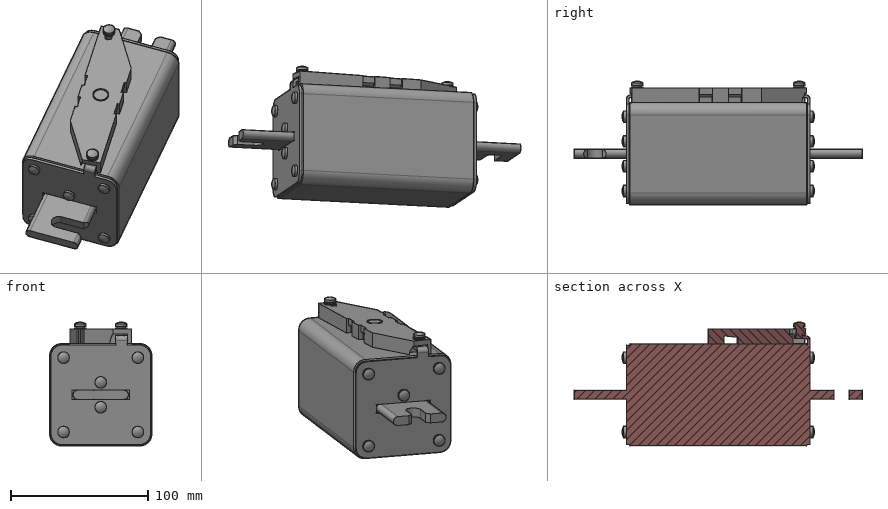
import cadquery as cq
import math

body_width = 74.5
corner_radius = 8.8
plate_outer_y = 67.0
plate_thickness = 2.0
plate_inset = 1.0
block_end_chamfer = 0.6
total_length = 210.0
body_half = body_width / 2
block_half_length = plate_outer_y - plate_thickness

blade_width = 40.3
blade_thickness = 6.7
opening_width = 41.5
notch_width = 11.0
notch_center_y = 89.9
mouth_chamfer = 2.7

head_radius = 4.2
head_rim = 1.9
head_dome = 1.3
corner_screw_offset = 27.0
middle_screw_offset = 9.0

cover_top = 48.0
cover_half_width = 15.5
cover_half_length = 64.9
cover_turn = 6.2
bevel_start_y = 30.0
cover_tip_x = 1.9
grip_start_y = 5.9
grip_end_y = 15.5
grip_depth = 1.7
grip_undercut = 1.9
undercut_top = 43.3
ring_radius = 5.7
ring_width = 0.5
ring_depth = 0.6

tab_left = 11.0
tab_right = 19.3
tab_top = 43.0
tab_bend_radius = 3.4
tab_reach_y = 55.6
pocket_left = 6.7
pocket_right = 19.5
pocket_arc_radius = 12.5
pocket_end_y = 54.5
pocket_top = 44.3
screw_x = 15.0
screw_y = -59.0
slot_radius = 2.5
slot_end_x = 13.9
slot_end_y = -54.5
washer_thickness = 0.6
neck_radius = 3.2
neck_height = 1.15


def half_turn(shape):
    """Copy of a shape on the other end of the part."""
    return shape.rotate((0, 0, 0), (0, 0, 1), 180)


def screw_head():
    """Domed head standing on Z = 0, centred on the Z axis."""
    sphere_radius = (head_radius**2 + head_dome**2) / (2 * head_dome)
    middle_x = head_radius / 2
    sphere_center = head_rim + head_dome - sphere_radius
    middle_z = sphere_center + math.sqrt(sphere_radius**2 - middle_x**2)
    return (
        cq.Workplane("XZ")
        .lineTo(head_radius, 0)
        .lineTo(head_radius, head_rim)
        .threePointArc((middle_x, middle_z), (0, head_rim + head_dome))
        .close()
        .revolve(360, (0, 0, 0), (0, 1, 0))
    )


def ceramic_block():
    return (
        cq.Workplane("XZ")
        .rect(body_width, body_width)
        .extrude(block_half_length, both=True)
        .edges("|Y")
        .fillet(corner_radius)
        .faces("<Y or >Y")
        .chamfer(block_end_chamfer, plate_inset)
    )


def front_plate():
    """End plate with its blade opening and its six screw heads."""
    side = body_width - 2 * plate_inset
    plate = (
        cq.Workplane("XZ", origin=(0, -block_half_length, 0))
        .rect(side, side)
        .extrude(plate_thickness)
        .edges("|Y")
        .fillet(corner_radius - plate_inset)
    )
    opening = (
        cq.Workplane("XZ", origin=(0, -block_half_length, 0))
        .rect(opening_width, blade_thickness)
        .extrude(plate_thickness)
    )
    plate = plate.cut(opening)
    places = [(0, middle_screw_offset), (0, -middle_screw_offset)]
    for side_x in (-1, 1):
        for side_z in (-1, 1):
            places.append((side_x * corner_screw_offset, side_z * corner_screw_offset))
    head = screw_head().rotate((0, 0, 0), (1, 0, 0), 90)
    for x, z in places:
        plate = plate.union(head.translate((x, -plate_outer_y, z)))
    return plate


def front_tab():
    """Tab that rises from the end plate and bends inward under the cover."""
    tab = (
        cq.Workplane("YZ", origin=(tab_left, 0, 0))
        .moveTo(-plate_outer_y, body_half - corner_radius)
        .lineTo(-plate_outer_y, tab_top - tab_bend_radius)
        .radiusArc((-plate_outer_y + tab_bend_radius, tab_top), tab_bend_radius)
        .lineTo(-tab_reach_y, tab_top)
        .lineTo(-tab_reach_y, tab_top - plate_thickness)
        .lineTo(-plate_outer_y + tab_bend_radius, tab_top - plate_thickness)
        .radiusArc(
            (-block_half_length, tab_top - tab_bend_radius), -(tab_bend_radius - plate_thickness)
        )
        .lineTo(-block_half_length, body_half - corner_radius)
        .close()
        .extrude(tab_right - tab_left)
    )
    screw_hole = (
        cq.Workplane("XY", origin=(screw_x, screw_y, body_half))
        .circle(slot_radius)
        .extrude(tab_top - body_half)
    )
    return tab.cut(screw_hole)


def blade(direction):
    """Contact blade with fully rounded side edges; direction is -1 (front) or 1 (back)."""
    length = total_length / 2 - block_half_length
    start_y = direction * block_half_length
    return (
        cq.Workplane("XZ", origin=(0, start_y, 0))
        .slot2D(blade_width, blade_thickness)
        .extrude(-direction * length)
    )


def blade_notch(mouth_length):
    """Round-ended notch open along +Y, with a chamfered mouth at mouth_length."""
    half = notch_width / 2
    mouth_half = half + mouth_chamfer
    return (
        cq.Workplane("XY", origin=(0, 0, -blade_thickness))
        .moveTo(-half, 0)
        .threePointArc((0, -half), (half, 0))
        .lineTo(half, mouth_length - mouth_chamfer)
        .lineTo(mouth_half, mouth_length)
        .lineTo(-mouth_half, mouth_length)
        .lineTo(-half, mouth_length - mouth_chamfer)
        .close()
        .extrude(2 * blade_thickness)
    )


def make_fuse_body():
    fuse = ceramic_block()
    end_plate = front_plate()
    tab = front_tab()
    for piece in (end_plate, tab):
        fuse = fuse.union(piece).union(half_turn(piece))
    back_notch = blade_notch(total_length / 2 - notch_center_y)
    back_blade = blade(1).cut(back_notch.translate((0, notch_center_y, 0)))
    side_notch = blade_notch(blade_width / 2).rotate((0, 0, 0), (0, 0, 1), -90)
    front_blade = blade(-1).cut(side_notch.translate((0, -notch_center_y, 0)))
    return fuse.union(back_blade).union(front_blade)


def cover_block():
    """Unturned cover outline: a rectangle with two opposite corners cut off diagonally."""
    front_half = [
        (-cover_half_width, -bevel_start_y),
        (cover_tip_x, -cover_half_length),
        (cover_half_width, -cover_half_length),
    ]
    back_half = [(-x, -y) for x, y in front_half]
    return (
        cq.Workplane("XY", origin=(0, 0, body_half))
        .polyline(front_half + back_half)
        .close()
        .extrude(cover_top - body_half)
    )


def finger_notch():
    """Notch in the left side at +Y, deeper below a sloped step."""
    floor = -cover_half_width + grip_depth
    deep_floor = floor + grip_undercut
    return (
        cq.Workplane("XZ", origin=(0, grip_end_y, 0))
        .moveTo(-cover_half_width, body_half)
        .lineTo(deep_floor, body_half)
        .lineTo(deep_floor, undercut_top - grip_undercut)
        .lineTo(floor, undercut_top)
        .lineTo(floor, cover_top)
        .lineTo(-cover_half_width, cover_top)
        .close()
        .extrude(grip_end_y - grip_start_y)
    )


def indicator_ring():
    return (
        cq.Workplane("XY", origin=(0, 0, cover_top - ring_depth))
        .circle(ring_radius)
        .circle(ring_radius - ring_width)
        .extrude(ring_depth)
    )


def tab_pocket():
    """Recess under the front end of the cover for the hooked tab."""
    height = pocket_top - body_half
    arch_run = pocket_arc_radius - math.sqrt(pocket_arc_radius**2 - height**2)
    return (
        cq.Workplane("XZ", origin=(0, -pocket_end_y, 0))
        .moveTo(pocket_left, body_half)
        .radiusArc((pocket_left + arch_run, pocket_top), pocket_arc_radius)
        .lineTo(pocket_right, pocket_top)
        .lineTo(pocket_right, body_half)
        .close()
        .extrude(plate_outer_y - pocket_end_y)
    )


def screw_slot():
    """Slot in the cover top, running inward from the front cover screw."""
    run_x = slot_end_x - screw_x
    run_y = slot_end_y - screw_y
    length = math.hypot(run_x, run_y) + 2 * slot_radius
    middle = ((screw_x + slot_end_x) / 2, (screw_y + slot_end_y) / 2, pocket_top)
    angle = math.degrees(math.atan2(run_y, run_x))
    return (
        cq.Workplane("XY", origin=middle)
        .slot2D(length, 2 * slot_radius, angle)
        .extrude(cover_top - pocket_top)
    )


def cover_screw():
    """Front cover screw: shank through the slot and tab, washer, neck and domed head."""
    shank_bottom = tab_top - plate_thickness
    washer_top = cover_top + washer_thickness

    def round_bar(radius, bottom, top):
        return cq.Workplane("XY", origin=(0, 0, bottom)).circle(radius).extrude(top - bottom)

    shank = round_bar(slot_radius, shank_bottom, cover_top)
    washer = round_bar(head_radius, cover_top, washer_top)
    neck = round_bar(neck_radius, washer_top, washer_top + neck_height)
    head = screw_head().translate((0, 0, washer_top + neck_height))
    return shank.union(washer).union(neck).union(head).translate((screw_x, screw_y, 0))


def make_cover():
    cover = cover_block().cut(indicator_ring())
    mirrored_notch = finger_notch().mirror("XZ")
    for notch in (finger_notch(), mirrored_notch):
        cover = cover.cut(notch).cut(half_turn(notch))
    cover = cover.rotate((0, 0, 0), (0, 0, 1), cover_turn)
    for recess in (tab_pocket(), screw_slot()):
        cover = cover.cut(recess).cut(half_turn(recess))
    screw = cover_screw()
    return cover.union(screw).union(half_turn(screw))


fuse_body = make_fuse_body()
cover = make_cover()

result = cq.Compound.makeCompound([fuse_body.solids().val(), cover.solids().val()])